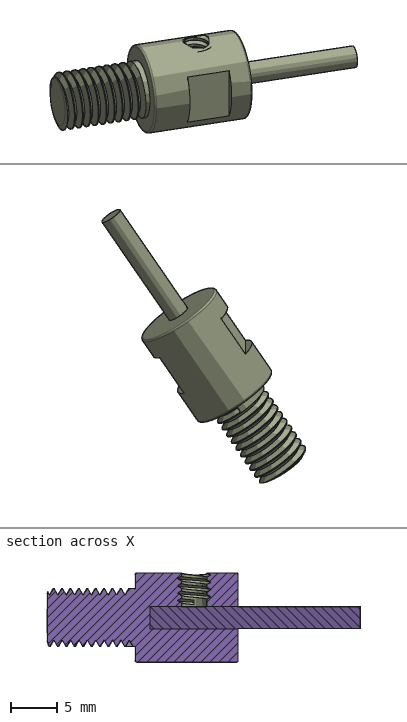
import cadquery as cq
import math


inch = 25.4

body_diameter = 9.67
body_length = 11.13
body_edge_fillet = 0.2

flat_length = 4.75
across_flats = 7.97
flat_center_y = body_length - flat_length

stud_diameter = 6.29
stud_length = 9.5
tip_chamfer_height = 0.15
tip_chamfer_width = 0.56
stud_pitch = inch / 28
stud_crest_share = 1 / 8
stud_start_angle = -90
stud_groove_start = 0.63

tap_minor_diameter = 2.69
tap_pitch = inch / 32
tap_crest_share = 3 / 8
tap_center_y = flat_center_y
tap_start_angle = 180
tap_start_z = 1.64
tap_turns = 4.4

pin_diameter = 2.38
pin_exposed_length = 13.2
bore_depth = 2 * flat_length

flank_slope = math.tan(math.radians(30))
overshoot = 0.05
seam_angle = 137


def groove_cutter(crest_radius, pitch, crest_share, length, outward):
    """Right-handed helical V cutter about +Z; its groove starts on +X at Z = 0."""
    direction = 1 if outward else -1
    half_width = pitch * (1 - crest_share) / 2
    root_radius = crest_radius + direction * half_width / flank_slope
    mouth_radius = crest_radius - direction * overshoot
    mouth_half_width = half_width + overshoot * flank_slope
    profile = [
        (mouth_radius, mouth_half_width),
        (mouth_radius, -mouth_half_width),
        (root_radius, 0),
    ]
    path = cq.Workplane(obj=cq.Wire.makeHelix(pitch, length, crest_radius))
    return cq.Workplane("XZ").polyline(profile).close().sweep(path, isFrenet=True)


def make_barrel():
    barrel = cq.Workplane("XZ").circle(body_diameter / 2).extrude(-body_length)
    return barrel.edges().fillet(body_edge_fillet)


def cut_flats(barrel):
    for side in (-1, 1):
        cutter = cq.Workplane("XY").box(body_diameter, flat_length, body_diameter)
        center_x = side * (across_flats + body_diameter) / 2
        barrel = barrel.cut(cutter.translate((center_x, flat_center_y, 0)))
    return barrel


def cut_bore(barrel):
    rear_face = cq.Workplane("XZ", origin=(0, body_length, 0))
    return barrel.cut(rear_face.circle(pin_diameter / 2).extrude(bore_depth))


def cut_tapped_hole(barrel):
    radius = tap_minor_diameter / 2
    hole = cq.Workplane("XY").circle(radius).extrude(body_diameter)
    hole = hole.rotate((0, 0, 0), (0, 0, 1), seam_angle).translate((0, tap_center_y, 0))
    groove = groove_cutter(radius, tap_pitch, tap_crest_share, tap_turns * tap_pitch, outward=True)
    groove = groove.rotate((0, 0, 0), (0, 0, 1), tap_start_angle)
    groove = groove.translate((0, tap_center_y, tap_start_z))
    return barrel.cut(hole).cut(groove)


def make_tip_ring():
    """Triangular ring whose removal leaves the shallow conical chamfer on the stud tip."""
    slope = tip_chamfer_height / tip_chamfer_width
    outer_radius = stud_diameter / 2 + overshoot
    top_z = stud_length + overshoot
    section = [
        (stud_diameter / 2 - tip_chamfer_width - overshoot / slope, top_z),
        (outer_radius, top_z),
        (outer_radius, stud_length - tip_chamfer_height - overshoot * slope),
    ]
    ring = cq.Workplane("XZ").polyline(section).close().revolve(360, (0, 0, 0), (0, 1, 0))
    return ring.rotate((0, 0, 0), (0, 0, 1), seam_angle)


def make_stud():
    """Stud modelled upward along +Z, then turned to point along -Y."""
    stud = cq.Workplane("XY").circle(stud_diameter / 2).extrude(stud_length)
    stud = stud.rotate((0, 0, 0), (0, 0, 1), seam_angle)
    groove = groove_cutter(stud_diameter / 2, stud_pitch, stud_crest_share, stud_length, outward=False)
    groove = groove.rotate((0, 0, 0), (0, 0, 1), stud_start_angle)
    groove = groove.translate((0, 0, stud_groove_start))
    stud = stud.cut(groove).cut(make_tip_ring())
    return stud.rotate((0, 0, 0), (1, 0, 0), 90)


def make_body():
    barrel = cut_flats(make_barrel())
    barrel = cut_bore(barrel)
    barrel = cut_tapped_hole(barrel)
    return barrel.union(make_stud())


def make_pin():
    bore_floor = cq.Workplane("XZ", origin=(0, body_length - bore_depth, 0))
    return bore_floor.circle(pin_diameter / 2).extrude(-(bore_depth + pin_exposed_length))


body = make_body()
pin = make_pin()

result = cq.Compound.makeCompound([body.solids().val(), pin.val()])